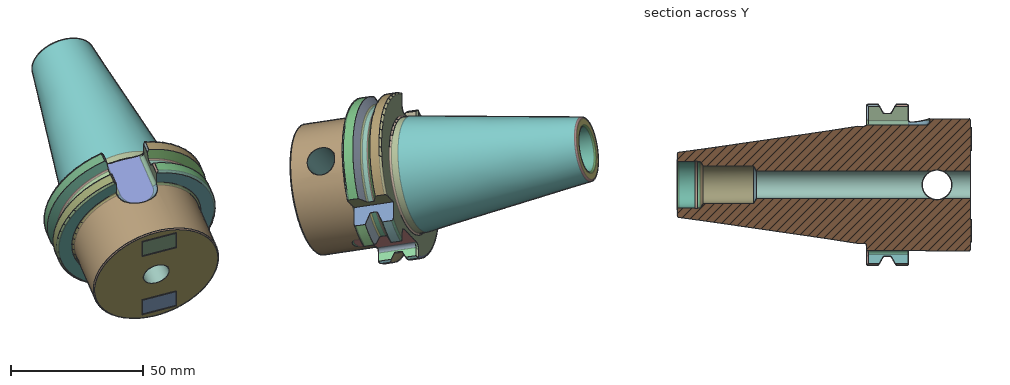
import cadquery as cq
import math


overall_length = 111.2
marking_height = 0.3
body_end = overall_length - marking_height

gauge_radius = 22.2
gauge_position = 68.2
taper_slope = 7 / 48
small_end_radius = gauge_radius - taper_slope * gauge_position
small_end_fillet = 0.8

flange_radius = 31.7
flange_front = gauge_position + 3.3
flange_width = 15.9
flange_rear = flange_front + flange_width
flange_edge_fillet = 0.8
front_land_width = 4.5
groove_mouth = 6.9
groove_center = flange_front + front_land_width + groove_mouth / 2
groove_depth = 3.6
groove_floor_radius = flange_radius - groove_depth
groove_wall_angle = 30.0
groove_floor_width = groove_mouth - 2 * groove_depth * math.tan(math.radians(groove_wall_angle))
groove_fillet = 0.8
neck_fillet = 0.7

body_radius = 25.0
body_fillet = 0.8
body_end_chamfer = 0.5

entry_radius = 8.7
entry_depth = 8.9
entry_floor_fillet = 0.5
entry_groove_start = 6.8
entry_groove_width = 0.9
entry_groove_depth = 0.2
entry_fillet = 0.7
pilot_radius = 7.0
pilot_depth = 28.9
through_radius = 5.1
bore_cone_angle = 60.0

slot_half_width = 8.0
slot_corner_radius = 1.6
slot_edge_chamfer = 0.8
top_slot_floor = 22.7
bottom_slot_floor = 24.8
slot_end_center = flange_rear

notch_y = 18.4
notch_z = 18.2

screw_hole_radius = 5.6
screw_hole_position = flange_rear + 10.8

marking_inner = 13.0
marking_outer = 21.6
marking_y_min = -5.7
marking_y_max = 7.9


def ring_edges(solid, position, radius):
    """Select the circular edges of one radius that lie at one place along X."""
    tolerance = 0.01
    reach = radius + tolerance
    box = cq.selectors.BoxSelector(
        (position - tolerance, -reach, -reach), (position + tolerance, reach, reach), boundingbox=True
    )
    return solid.edges(box).edges(cq.selectors.RadiusNthSelector(-1))


def turned_body():
    """Revolve the taper, the grooved flange and the body, with their turned edges rounded."""
    half_mouth = groove_mouth / 2
    half_floor = groove_floor_width / 2
    turned = (
        cq.Workplane("XY")
        .moveTo(0, 0)
        .lineTo(0, small_end_radius)
        .lineTo(gauge_position, gauge_radius)
        .lineTo(flange_front, gauge_radius)
        .lineTo(flange_front, flange_radius)
        .lineTo(groove_center - half_mouth, flange_radius)
        .lineTo(groove_center - half_floor, groove_floor_radius)
        .lineTo(groove_center + half_floor, groove_floor_radius)
        .lineTo(groove_center + half_mouth, flange_radius)
        .lineTo(flange_rear, flange_radius)
        .lineTo(flange_rear, body_radius)
        .lineTo(body_end, body_radius)
        .lineTo(body_end, 0)
        .close()
        .revolve(360, (0, 0, 0), (1, 0, 0))
    )
    rounded_edges = [
        (0, small_end_radius, small_end_fillet),
        (flange_front, gauge_radius, neck_fillet),
        (flange_front, flange_radius, flange_edge_fillet),
        (groove_center - half_floor, groove_floor_radius, groove_fillet),
        (groove_center + half_floor, groove_floor_radius, groove_fillet),
        (flange_rear, flange_radius, flange_edge_fillet),
        (flange_rear, body_radius, body_fillet),
    ]
    for position, radius, fillet in rounded_edges:
        turned = ring_edges(turned, position, radius).fillet(fillet)
    return ring_edges(turned, body_end, body_radius).chamfer(body_end_chamfer)


def bore_cutter():
    """Stepped bore: grooved entry, pilot and through hole joined by cones."""
    cone_slope = math.tan(math.radians(bore_cone_angle))
    entry_cone_end = entry_depth + (entry_radius - pilot_radius) / cone_slope
    pilot_cone_end = pilot_depth + (pilot_radius - through_radius) / cone_slope
    groove_radius = entry_radius + entry_groove_depth
    entry_groove_end = entry_groove_start + entry_groove_width
    flare = entry_fillet * (1 - math.sqrt(0.5))
    cutter = (
        cq.Workplane("XY")
        .moveTo(0, 0)
        .lineTo(0, entry_radius + entry_fillet)
        .threePointArc((flare, entry_radius + flare), (entry_fillet, entry_radius))
        .lineTo(entry_groove_start, entry_radius)
        .lineTo(entry_groove_start, groove_radius)
        .lineTo(entry_groove_end, groove_radius)
        .lineTo(entry_groove_end, entry_radius)
        .lineTo(entry_depth, entry_radius)
        .lineTo(entry_cone_end, pilot_radius)
        .lineTo(pilot_depth, pilot_radius)
        .lineTo(pilot_cone_end, through_radius)
        .lineTo(overall_length, through_radius)
        .lineTo(overall_length, 0)
        .close()
        .revolve(360, (0, 0, 0), (1, 0, 0))
    )
    return ring_edges(cutter, entry_depth, entry_radius).fillet(entry_floor_fillet)


def slot_section(position, floor, widening):
    """U-shaped slot section at one place along X; widening moves the walls but not the floor."""
    half_width = slot_half_width + widening
    corner = slot_corner_radius + widening
    floor_half = half_width - corner
    bend = corner * (1 - math.sqrt(0.5))
    return (
        cq.Workplane("YZ", origin=(position, 0, 0))
        .moveTo(-half_width, flange_radius)
        .lineTo(-half_width, floor + corner)
        .threePointArc((-half_width + bend, floor + bend), (-floor_half, floor))
        .lineTo(floor_half, floor)
        .threePointArc((half_width - bend, floor + bend), (half_width, floor + corner))
        .lineTo(half_width, flange_radius)
        .close()
    )


def slot_cutter(floor):
    """Round-ended drive slot opening toward +Z, with chamfers at its front and at the flange rim."""
    slot_height = flange_radius - floor
    channel = slot_section(flange_front, floor, 0).extrude(slot_end_center - flange_front)
    round_end = (
        cq.Workplane("XY", origin=(slot_end_center, 0, floor))
        .circle(slot_half_width)
        .extrude(slot_height)
        .faces("<Z")
        .edges()
        .fillet(slot_corner_radius)
    )

    front_wire = slot_section(flange_front, floor, slot_edge_chamfer).wire().val()
    inner_wire = slot_section(flange_front + slot_edge_chamfer, floor, 0).wire().val()
    front_chamfer = cq.Workplane(cq.Solid.makeLoft([front_wire, inner_wire], True))

    rim_half_width = slot_half_width + slot_edge_chamfer
    rim_edge = math.sqrt(flange_radius**2 - rim_half_width**2)
    rim_rise = flange_radius - rim_edge
    rim_chamfer = (
        cq.Workplane("YZ", origin=(flange_front, 0, 0))
        .moveTo(-slot_half_width, rim_edge - slot_edge_chamfer)
        .lineTo(slot_half_width, rim_edge - slot_edge_chamfer)
        .lineTo(rim_half_width + rim_rise, flange_radius)
        .lineTo(-rim_half_width - rim_rise, flange_radius)
        .close()
        .extrude(flange_width)
    )
    return channel.union(round_end).union(front_chamfer).union(rim_chamfer)


def notch_cutter():
    """Square corner taken out of the rim on the +Y, -Z side, through the whole flange."""
    return cq.Workplane("XY").box(
        flange_width, flange_radius - notch_y, flange_radius - notch_z, centered=False
    ).translate((flange_front, notch_y, -flange_radius))


def screw_hole_cutter():
    """Radial hole from the +Y side of the body in to the bore axis."""
    return (
        cq.Workplane("XZ", origin=(screw_hole_position, 0, 0))
        .circle(screw_hole_radius)
        .extrude(-flange_radius)
    )


def marking_pads():
    """Two low pads on the far end face, above and below the bore."""
    pad = cq.Workplane("XY").box(
        marking_height, marking_y_max - marking_y_min, marking_outer - marking_inner, centered=False
    )
    upper = pad.translate((body_end, marking_y_min, marking_inner))
    lower = pad.translate((body_end, marking_y_min, -marking_outer))
    return upper.union(lower)


top_slot = slot_cutter(top_slot_floor)
bottom_slot = slot_cutter(bottom_slot_floor).mirror("XY")

result = turned_body().union(marking_pads())
for cutter in (bore_cutter(), top_slot, bottom_slot, notch_cutter(), screw_hole_cutter()):
    result = result.cut(cutter)